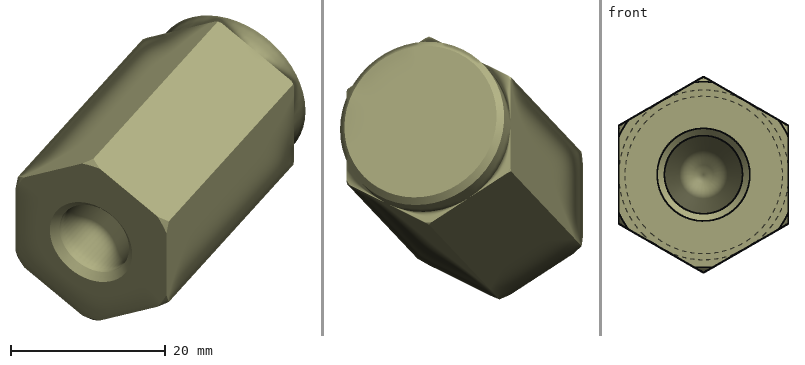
import cadquery as cq
import math

total_length = 40.0
across_flats = 22.0
across_corners = across_flats / math.cos(math.radians(30))

collar_length = 4.0
collar_chamfer = 0.8
hex_length = total_length - collar_length

corner_chamfer = 0.7
shoulder_chamfer = 0.25

hole_diameter = 10.1
mouth_diameter = 12.0
hole_depth = 20.0
drill_point_angle = 118.0


def revolve_profile(points):
    """Revolve a closed (radius, Y) outline about the Y axis."""
    return cq.Workplane("XY").polyline(points).close().revolve(360, (0, 0, 0), (0, 1, 0))


def hex_body():
    """Hexagonal prism with corners on +Z and -Z, trimmed by a turned envelope."""
    prism = (
        cq.Workplane("XZ")
        .polygon(6, across_corners)
        .extrude(-hex_length)
        .rotate((0, 0, 0), (0, 1, 0), 30)
    )
    corner_radius = across_corners / 2
    envelope = revolve_profile([
        (0, 0),
        (corner_radius - corner_chamfer, 0),
        (corner_radius, corner_chamfer),
        (corner_radius, hex_length - shoulder_chamfer),
        (corner_radius - shoulder_chamfer, hex_length),
        (0, hex_length),
    ])
    return prism.intersect(envelope)


def collar():
    """Round collar with a chamfered outer rim."""
    return (
        cq.Workplane("XZ", origin=(0, hex_length, 0))
        .circle(across_flats / 2)
        .extrude(-collar_length)
        .faces(">Y")
        .chamfer(collar_chamfer)
    )


def blind_hole():
    """Drilled hole with a 45 degree countersunk mouth and a conical bottom."""
    hole_radius = hole_diameter / 2
    mouth_radius = mouth_diameter / 2
    point_length = hole_radius / math.tan(math.radians(drill_point_angle / 2))
    return revolve_profile([
        (0, 0),
        (mouth_radius, 0),
        (hole_radius, mouth_radius - hole_radius),
        (hole_radius, hole_depth),
        (0, hole_depth + point_length),
    ])


result = hex_body().union(collar()).cut(blind_hole())